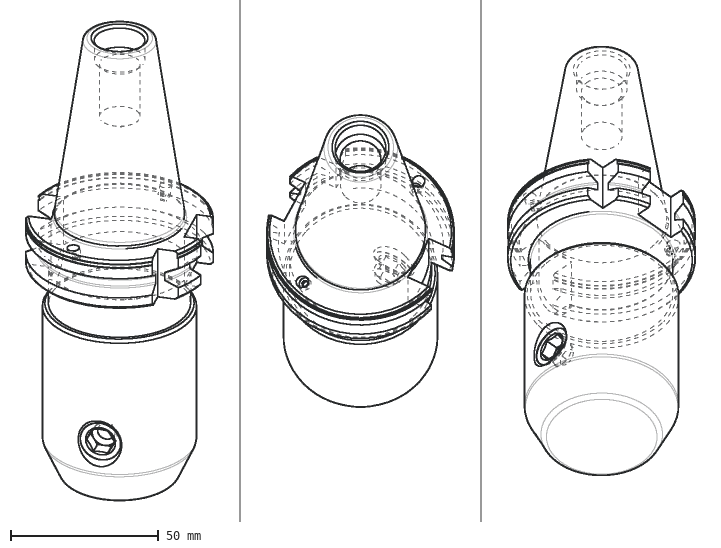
import cadquery as cq
import math

total_height = 168.4
taper_start_z = 101.5
flange_top_z = 99.4
flange_bottom_z = 80.8
flange_height = flange_top_z - flange_bottom_z
body_top_z = 65.8
nose_cone_top_z = 13.5

body_radius = 26.1
neck_radius = 24.0
nose_radius = 20.0
gauge_radius = 22.2
gauge_z = 100.0
taper_half_slope = 7 / 48
taper_base_radius = gauge_radius - (taper_start_z - gauge_z) * taper_half_slope
taper_tip_radius = gauge_radius - (total_height - gauge_z) * taper_half_slope

nose_fillet = 2.0
body_chamfer_radial = 0.8
body_chamfer_height = 1.2
tip_fillet = 1.3
neck_fillet = 0.7
taper_base_fillet = 0.7
nose_cone_fillet = 2.5
groove_floor_fillet = 0.7
flange_chamfer = 1.0

flange_radius = 63.5 / 2
groove_floor_radius = 28.0
groove_center_z = 89.0
groove_floor_width = 3.0
groove_angle = 60
groove_flank_height = (flange_radius - groove_floor_radius) * math.tan(math.radians(groove_angle / 2))

rim_groove_depth = 0.3
rim_groove_top_z = 98.2
rim_groove_bottom_z = 96.8

slot_width = 16.0
minus_x_slot_floor = 21.9
plus_x_slot_floor = 25.0
minus_x_slot_end_z = 72.5
notch_offset = 18.5

bore_mouth_radius = 9.6
bore_radius = 8.6
bore_depth = 8.5
thread_radius = 6.9
thread_depth = 30.3
drill_point_angle = 118

coolant_hole_radius = 2.0
coolant_circle_radius = 27.1
coolant_angle = 70
coolant_lean = 20
coolant_plug_depth = 3.7
plug_socket_across_flats = 2.0
plug_socket_depth = 1.7

screw_z = 25.3
screw_hole_radius = 7.0
screw_mouth_radius = 8.8
screw_face_depth = 1.9
socket_mouth_radius = 5.2
socket_bevel_height = 0.5
socket_across_flats = 8.6
socket_depth = 5.0
socket_floor_radius = 3.0

cut_margin = 8.5
selection_margin = 0.08


def circle_at(radius, z):
    """Selector for the circular edge of the given radius around the axis at height z."""
    reach = radius + selection_margin
    return cq.selectors.BoxSelector(
        (-reach, -reach, z - selection_margin),
        (reach, reach, z + selection_margin),
        boundingbox=True,
    ) - cq.selectors.BoxSelector(
        (-radius + selection_margin, -radius + selection_margin, z - selection_margin),
        (radius - selection_margin, radius - selection_margin, z + selection_margin),
        boundingbox=True,
    )


def turned_blank():
    """Revolve the outer profile: nose, body, neck, grooved flange and taper."""
    groove_floor_top = groove_center_z + groove_floor_width / 2
    groove_floor_bottom = groove_center_z - groove_floor_width / 2
    profile = (
        cq.Workplane("XZ")
        .lineTo(nose_radius, 0)
        .lineTo(body_radius, nose_cone_top_z)
        .lineTo(body_radius, body_top_z - body_chamfer_height)
        .lineTo(body_radius - body_chamfer_radial, body_top_z)
        .lineTo(neck_radius, body_top_z)
        .lineTo(neck_radius, flange_bottom_z)
        .lineTo(flange_radius - flange_chamfer, flange_bottom_z)
        .lineTo(flange_radius, flange_bottom_z + flange_chamfer)
        .lineTo(flange_radius, groove_floor_bottom - groove_flank_height)
        .lineTo(groove_floor_radius, groove_floor_bottom)
        .lineTo(groove_floor_radius, groove_floor_top)
        .lineTo(flange_radius, groove_floor_top + groove_flank_height)
        .lineTo(flange_radius, rim_groove_bottom_z)
        .lineTo(flange_radius - rim_groove_depth, rim_groove_bottom_z)
        .lineTo(flange_radius - rim_groove_depth, rim_groove_top_z)
        .lineTo(flange_radius, rim_groove_top_z)
        .lineTo(flange_radius, flange_top_z - flange_chamfer)
        .lineTo(flange_radius - flange_chamfer, flange_top_z)
        .lineTo(taper_base_radius, flange_top_z)
        .lineTo(taper_base_radius, taper_start_z)
        .lineTo(taper_tip_radius, total_height)
        .lineTo(0, total_height)
        .close()
    )
    blank = profile.revolve(360, (0, 0, 0), (0, 1, 0))
    blank = blank.edges(circle_at(taper_tip_radius, total_height)).fillet(tip_fillet)
    blank = blank.edges(circle_at(taper_base_radius, flange_top_z)).fillet(taper_base_fillet)
    blank = blank.edges(circle_at(nose_radius, 0)).fillet(nose_fillet)
    blank = blank.edges(circle_at(neck_radius, flange_bottom_z)).fillet(neck_fillet)
    blank = blank.edges(circle_at(body_radius, nose_cone_top_z)).fillet(nose_cone_fillet)
    for floor_edge_z in (groove_floor_bottom, groove_floor_top):
        floor_edge = circle_at(groove_floor_radius, floor_edge_z)
        blank = blank.edges(floor_edge).fillet(groove_floor_fillet)
    return blank


def drive_slots():
    """Cutters for the round-ended slot on -X and the plain slot on +X."""
    end_center_z = minus_x_slot_end_z + slot_width / 2
    cut_length = flange_radius + cut_margin
    minus_x_slot = (
        cq.Workplane("YZ", origin=(-minus_x_slot_floor, 0, 0))
        .moveTo(-slot_width / 2, flange_top_z)
        .lineTo(-slot_width / 2, end_center_z)
        .threePointArc((0, minus_x_slot_end_z), (slot_width / 2, end_center_z))
        .lineTo(slot_width / 2, flange_top_z)
        .close()
        .extrude(-cut_length)
    )
    plus_x_slot = cq.Workplane("XY").box(
        cut_length, slot_width, flange_height, centered=(False, True, False)
    ).translate((plus_x_slot_floor, 0, flange_bottom_z))
    return minus_x_slot.union(plus_x_slot)


def orientation_notch():
    """Square corner cutter on the +X, -Y side of the flange."""
    return cq.Workplane("XY").box(
        flange_radius, flange_radius, flange_height, centered=False
    ).translate((notch_offset, -notch_offset - flange_radius, flange_bottom_z))


def pull_stud_bore():
    """Stepped bore with a chamfered mouth, a chamfered step and a drill point."""
    mouth_chamfer = bore_mouth_radius - bore_radius
    step_chamfer = bore_radius - thread_radius
    point_height = thread_radius / math.tan(math.radians(drill_point_angle / 2))
    thread_end_z = total_height - thread_depth
    step_z = total_height - bore_depth
    profile = (
        cq.Workplane("XZ")
        .moveTo(0, total_height)
        .lineTo(bore_mouth_radius, total_height)
        .lineTo(bore_radius, total_height - mouth_chamfer)
        .lineTo(bore_radius, step_z)
        .lineTo(thread_radius, step_z - step_chamfer)
        .lineTo(thread_radius, thread_end_z)
        .lineTo(0, thread_end_z - point_height)
        .close()
    )
    return profile.revolve(360, (0, 0, 0), (0, 1, 0))


def hexagon_diameter(across_flats):
    """Diameter of the circle through the corners of a hexagon."""
    return across_flats / math.cos(math.pi / 6)


def coolant_holes():
    """Two opposite leaning holes, each ending on a plug with a hex socket."""
    top = cq.Workplane("XY").workplane(offset=coolant_hole_radius)
    hole_length = coolant_hole_radius + coolant_plug_depth
    hole = top.circle(coolant_hole_radius).extrude(-hole_length)
    socket = (
        cq.Workplane("XY", origin=(0, 0, -coolant_plug_depth))
        .polygon(6, hexagon_diameter(plug_socket_across_flats))
        .extrude(-plug_socket_depth)
    )
    leaning_hole = (
        hole.union(socket)
        .rotate((0, 0, 0), (0, 1, 0), coolant_lean)
        .translate((coolant_circle_radius, 0, flange_top_z))
    )
    first_hole = leaning_hole.rotate((0, 0, 0), (0, 0, 1), coolant_angle)
    return first_hole.union(first_hole.rotate((0, 0, 0), (0, 0, 1), 180))


def screw_recess():
    """Chamfered screw hole on -Y that ends on the screw face with its hex socket."""
    mouth_chamfer = screw_mouth_radius - screw_hole_radius
    mouth = cq.Workplane("XZ", origin=(0, -body_radius, screw_z))
    outer_radius = screw_mouth_radius + mouth_chamfer
    chamfer = (
        mouth.workplane(offset=mouth_chamfer)
        .circle(outer_radius)
        .workplane(offset=-2 * mouth_chamfer)
        .circle(screw_hole_radius)
        .loft(ruled=True)
    )
    hole = mouth.circle(screw_hole_radius).extrude(-screw_face_depth)
    screw_face = mouth.workplane(offset=-screw_face_depth)
    socket = screw_face.polygon(6, hexagon_diameter(socket_across_flats)).extrude(-socket_depth)
    floor_cone_height = socket_mouth_radius - socket_floor_radius
    floor_cone = (
        screw_face.workplane(offset=-socket_depth)
        .circle(socket_across_flats / 2)
        .workplane(offset=-floor_cone_height)
        .circle(socket_floor_radius)
        .loft(ruled=True)
    )
    mouth_bevel = (
        screw_face.circle(socket_mouth_radius)
        .workplane(offset=-socket_bevel_height)
        .circle(socket_across_flats / 2)
        .loft(ruled=True)
    )
    return chamfer.union(hole).union(socket).union(floor_cone).union(mouth_bevel)


result = (
    turned_blank()
    .cut(drive_slots())
    .cut(orientation_notch())
    .cut(pull_stud_bore())
    .cut(coolant_holes())
    .cut(screw_recess())
)